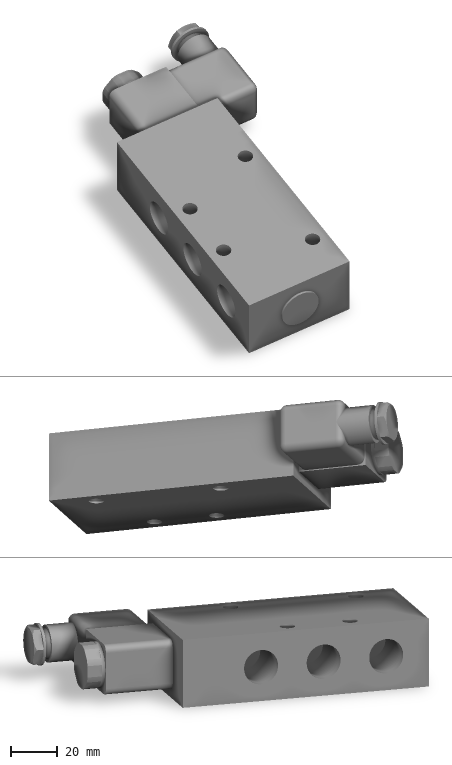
import cadquery as cq
import math


OVERALL_LENGTH = 160.0

BODY_LENGTH = 110.0
BODY_WIDTH = 50.0
BODY_HEIGHT = 30.0

PORT_PITCH = 28.0
PORT_DIAMETER = 15.2
PORT_DEPTH = BODY_WIDTH / 2
MIDDLE_PORT_X = 63.0
MOUNT_DIAMETER = 6.5
MOUNT_EDGE_DISTANCE = 7.0
MOUNT_Y = BODY_WIDTH / 2 - MOUNT_EDGE_DISTANCE

PLUG_DIAMETER = 18.0
PLUG_THICKNESS = 1.0

EDGE_RADIUS = 3.0
COIL_LENGTH = 30.0
COIL_HEIGHT = 22.0
COIL_MIN_Y = -10.9
COIL_MAX_Y = 17.3
KNOB_DIAMETER = 20.0
KNOB_ACROSS_FLATS = 19.4
KNOB_FLAT_COUNT = 8
KNOB_LENGTH = 7.8
KNOB_FLAT_LENGTH = 6.4

CONNECTOR_LENGTH = 29.0
CONNECTOR_HEIGHT = 21.1
CONNECTOR_WIDTH = 28.8
CONNECTOR_GAP = 0.5

GLAND_BARREL_DIAMETER = 16.3
GLAND_NECK_DIAMETER = 13.3
GLAND_NUT_DIAMETER = 18.2
GLAND_NUT_SIDES = 6
GLAND_NUT_ACROSS_FLATS = 15.4
GLAND_NUT_CHAMFER_LENGTH = 1.0
GLAND_Y = COIL_MAX_Y + CONNECTOR_WIDTH - GLAND_BARREL_DIAMETER / 2
GLAND_TIP_X = BODY_LENGTH + PLUG_THICKNESS - OVERALL_LENGTH
GLAND_NUT_LENGTH = 3.8
GLAND_FLANGE_THICKNESS = 1.1
GLAND_NECK_LENGTH = 2.9


def box(x_min, x_max, y_min, y_max, height):
    """Block centred on Z = 0."""
    size_x = x_max - x_min
    size_y = y_max - y_min
    return cq.Workplane("XY").box(size_x, size_y, height).translate(
        ((x_min + x_max) / 2, (y_min + y_max) / 2, 0)
    )


def x_cylinder(diameter, x_min, x_max, y=0.0):
    """Cylinder along X at the given Y."""
    return cq.Workplane("YZ", origin=(x_min, y, 0)).circle(diameter / 2).extrude(x_max - x_min)


def make_body():
    half_width = BODY_WIDTH / 2
    body = box(0, BODY_LENGTH, -half_width, half_width, BODY_HEIGHT)
    ports = (
        cq.Workplane("XZ", origin=(MIDDLE_PORT_X, -half_width, 0))
        .pushPoints([(-PORT_PITCH, 0), (0, 0), (PORT_PITCH, 0)])
        .circle(PORT_DIAMETER / 2)
        .extrude(-PORT_DEPTH)
    )
    mounts = (
        cq.Workplane("XY", origin=(MIDDLE_PORT_X, 0, 0))
        .pushPoints([
            (-PORT_PITCH, MOUNT_Y),
            (PORT_PITCH, MOUNT_Y),
            (-PORT_PITCH / 2, -MOUNT_Y),
            (PORT_PITCH / 2, -MOUNT_Y),
        ])
        .circle(MOUNT_DIAMETER / 2)
        .extrude(BODY_HEIGHT / 2, both=True)
    )
    plug = x_cylinder(PLUG_DIAMETER, BODY_LENGTH, BODY_LENGTH + PLUG_THICKNESS)
    return body.cut(ports).cut(mounts).union(plug)


def make_coil():
    housing = box(-COIL_LENGTH, 0, COIL_MIN_Y, COIL_MAX_Y, COIL_HEIGHT)
    return housing.edges("|X and <Y").fillet(EDGE_RADIUS)


def make_knob():
    """Round knob whose outer stretch is cut by evenly spaced flats."""
    tip_x = -COIL_LENGTH - KNOB_LENGTH
    knob = x_cylinder(KNOB_DIAMETER, tip_x, -COIL_LENGTH)
    corner_diameter = KNOB_ACROSS_FLATS / math.cos(math.pi / KNOB_FLAT_COUNT)
    flats = (
        cq.Workplane("YZ", origin=(tip_x, 0, 0))
        .transformed(rotate=(0, 0, 180 / KNOB_FLAT_COUNT))
        .polygon(KNOB_FLAT_COUNT, corner_diameter)
        .extrude(KNOB_FLAT_LENGTH)
    )
    collar = x_cylinder(KNOB_DIAMETER, tip_x + KNOB_FLAT_LENGTH, -COIL_LENGTH)
    return knob.intersect(flats.union(collar))


def make_connector():
    block = box(
        -CONNECTOR_GAP - CONNECTOR_LENGTH,
        -CONNECTOR_GAP,
        COIL_MAX_Y,
        COIL_MAX_Y + CONNECTOR_WIDTH,
        CONNECTOR_HEIGHT,
    )
    return block.edges("not <Y").fillet(EDGE_RADIUS)


def make_gland():
    nut_end = GLAND_TIP_X + GLAND_NUT_LENGTH
    flange_end = nut_end + GLAND_FLANGE_THICKNESS
    neck_end = flange_end + GLAND_NECK_LENGTH
    barrel_end = -CONNECTOR_GAP - CONNECTOR_LENGTH / 2

    hexagon = (
        cq.Workplane("YZ", origin=(GLAND_TIP_X, GLAND_Y, 0))
        .polygon(GLAND_NUT_SIDES, GLAND_NUT_ACROSS_FLATS / math.cos(math.pi / GLAND_NUT_SIDES))
        .extrude(GLAND_NUT_LENGTH)
    )
    chamfer_depth = (GLAND_NUT_DIAMETER - GLAND_NUT_ACROSS_FLATS) / 2
    turned_blank = x_cylinder(GLAND_NUT_DIAMETER, GLAND_TIP_X, nut_end, GLAND_Y)
    turned_blank = turned_blank.faces("<X").chamfer(GLAND_NUT_CHAMFER_LENGTH, chamfer_depth)
    flange = x_cylinder(GLAND_NUT_DIAMETER, nut_end, flange_end, GLAND_Y)
    neck = x_cylinder(GLAND_NECK_DIAMETER, flange_end, neck_end, GLAND_Y)
    barrel = x_cylinder(GLAND_BARREL_DIAMETER, neck_end, barrel_end, GLAND_Y)
    return hexagon.intersect(turned_blank).union(flange).union(neck).union(barrel)


result = (
    make_body()
    .union(make_coil())
    .union(make_knob())
    .union(make_connector())
    .union(make_gland())
)